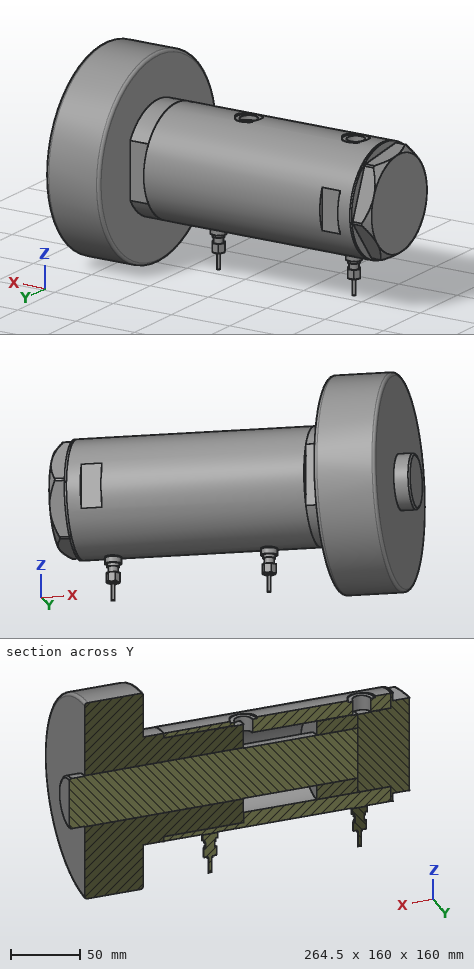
import cadquery as cq
import math


hex_sides = 6

barrel_radius = 44.2
barrel_start = 14.5
barrel_end = 191.2
bore_radius = 31.7

cap_flat_distance = 37.5
cap_corner_radius = 42.8
cap_turn_angle = 22.5
cap_hex_length = 13.0
cap_spigot_end = 40.7

sleeve_start = 129.0
sleeve_radius = 40.0
flange_start = 206.8
flange_end = 252.5
flange_diameter = 160.0
flange_edge_radius = 2.5
neck_flat_distance = 37.8

rod_radius = 20.5
rod_end = 264.5
rod_chamfer = 1.3
piston_length = 31.7

port_positions = (37.3, sleeve_start)
port_radius = 7.0
seat_radius = 10.3
seat_depth = 1.3

pocket_start = 24.9
pocket_end = 40.2
pocket_floor_distance = 41.0

sensor_positions = (39.0, 155.0)
sensor_collar_radius = 6.0
sensor_shoulder_radius = 4.5
sensor_neck_radius = 3.7
sensor_nut_corner_radius = 5.3
sensor_gland_radius = 2.0
sensor_cable_radius = 1.3
sensor_top = -44.7
collar_bottom = -49.0
shoulder_bottom = -51.3
neck_bottom = -55.8
nut_bottom = -63.0
gland_bottom = -64.0
cable_bottom = -76.2


def cylinder_x(radius, start, end):
    """Solid cylinder on the X axis."""
    return cq.Workplane("YZ", origin=(start, 0, 0)).circle(radius).extrude(end - start)


def cylinder_z(radius, x, bottom, top):
    """Solid cylinder on the vertical line that crosses the X axis at x."""
    return cq.Workplane("XY", origin=(x, 0, bottom)).circle(radius).extrude(top - bottom)


def side_blocks(start, end, distance, reach):
    """Two blocks, from the given distance to the reach on either side of the axis."""
    width = reach - distance
    middle = (distance + reach) / 2
    return (
        cq.Workplane("XY", origin=((start + end) / 2, 0, 0))
        .pushPoints([(0, middle), (0, -middle)])
        .box(end - start, width, 2 * reach)
    )


def make_barrel():
    body = cylinder_x(barrel_radius, barrel_start, barrel_end)
    for x in sensor_positions:
        body = body.union(cylinder_z(sensor_collar_radius, x, sensor_top, 0))
    body = body.cut(cylinder_x(bore_radius, barrel_start, sleeve_start))
    body = body.cut(cylinder_x(sleeve_radius, sleeve_start, barrel_end))
    body = body.cut(side_blocks(pocket_start, pocket_end, pocket_floor_distance, barrel_radius))
    for x in port_positions:
        body = body.cut(cylinder_z(port_radius, x, 0, barrel_radius))
        body = body.cut(cylinder_z(seat_radius, x, barrel_radius - seat_depth, barrel_radius))
    return body


def make_cap():
    chamfer = cap_corner_radius - cap_flat_distance
    blank = cylinder_x(cap_corner_radius, 0, cap_hex_length).faces("<X").chamfer(chamfer)
    hexagon = (
        cq.Workplane("YZ")
        .polygon(hex_sides, 2 * cap_flat_distance, circumscribed=True)
        .extrude(cap_hex_length)
        .rotate((0, 0, 0), (1, 0, 0), cap_turn_angle)
    )
    collar = cylinder_x(barrel_radius, cap_hex_length, barrel_start)
    spigot = cylinder_x(bore_radius, barrel_start, cap_spigot_end)
    return blank.intersect(hexagon).union(collar).union(spigot)


def make_head():
    sleeve = cylinder_x(sleeve_radius, sleeve_start, barrel_end)
    neck = cylinder_x(barrel_radius, barrel_end, flange_start)
    neck = neck.cut(side_blocks(barrel_end, flange_start, neck_flat_distance, barrel_radius))
    flange = cylinder_x(flange_diameter / 2, flange_start, flange_end).edges().fillet(flange_edge_radius)
    rod_hole = cylinder_x(rod_radius, sleeve_start, flange_end)
    return flange.union(neck).union(sleeve).cut(rod_hole)


def make_rod():
    return cylinder_x(rod_radius, cap_spigot_end, rod_end).faces(">X").chamfer(rod_chamfer)


def make_piston():
    piston_end = cap_spigot_end + piston_length
    ring = cylinder_x(bore_radius, cap_spigot_end, piston_end)
    return ring.cut(cylinder_x(rod_radius, cap_spigot_end, piston_end))


def make_sensor(x):
    nut_height = neck_bottom - nut_bottom
    nut = (
        cq.Workplane("XY", origin=(x, 0, nut_bottom))
        .polygon(hex_sides, 2 * sensor_nut_corner_radius)
        .extrude(nut_height)
    )
    nut_blank = cylinder_z(sensor_nut_corner_radius, x, nut_bottom, neck_bottom)
    nut_flat_distance = sensor_nut_corner_radius * math.cos(math.pi / hex_sides)
    nut_chamfer = sensor_nut_corner_radius - nut_flat_distance
    nut = nut.intersect(nut_blank.faces("<Z").chamfer(nut_chamfer))
    return (
        cylinder_z(sensor_collar_radius, x, collar_bottom, sensor_top)
        .union(cylinder_z(sensor_shoulder_radius, x, shoulder_bottom, collar_bottom))
        .union(cylinder_z(sensor_neck_radius, x, neck_bottom, shoulder_bottom))
        .union(nut)
        .union(cylinder_z(sensor_gland_radius, x, gland_bottom, nut_bottom))
        .union(cylinder_z(sensor_cable_radius, x, cable_bottom, gland_bottom))
    )


barrel = make_barrel()
cap = make_cap()
head = make_head()
rod = make_rod()
piston = make_piston()
sensors = [make_sensor(x) for x in sensor_positions]

result = cq.Compound.makeCompound(
    [
        barrel.val(),
        cap.val(),
        head.val(),
        rod.val(),
        piston.val(),
        *[sensor.val() for sensor in sensors],
    ]
)